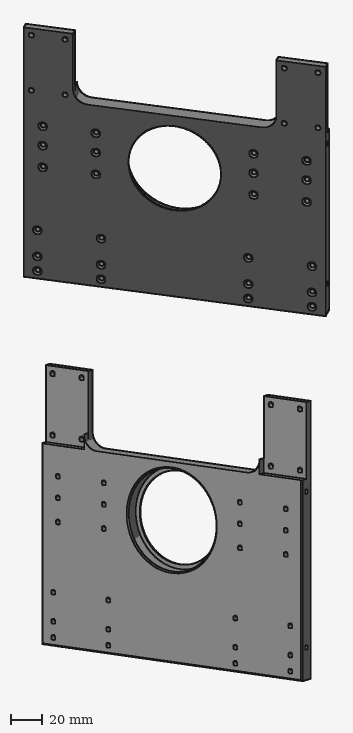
import cadquery as cq

width = 199.0
height = 181.0
thickness = 10.0

arm_width = 32.5
arm_length = 50.0
notch_corner_radius = 9.75
notch_floor_z = height - arm_length
notch_width = width - 2 * arm_width

arm_thickness = 5.0

back_bevel = 0.9

opening_diameter = 61.0
opening_z = 93.0
bore_diameter = 67.0
bore_bevel = 1.0
bevel_angle = 45.0
lip_thickness = 1.0

arm_hole_diameter = 3.4
arm_hole_offsets = (72.25, 94.5)
arm_hole_heights = (136.0, 176.0)

screw_hole_diameter = 3.2
countersink_diameter = 5.8
countersink_angle = 90.0
upper_screw_offsets = (52.0, 87.0)
upper_screw_heights = (81.2, 97.0, 111.0)
lower_screw_offsets = (48.5, 90.5)
lower_screw_heights = (5.6, 16.1, 35.1)

side_hole_diameter = 3.0
side_hole_depth = 10.0
side_hole_heights = (21.2, 122.7)


def mirrored_grid(offsets, heights):
    """Points at every offset left and right of the centre plane, at every height."""
    return [(side * x, z) for side in (-1, 1) for x in offsets for z in heights]


def through_bores(points, diameter):
    """Cylinders through the full thickness, from the front face toward +Y."""
    return cq.Workplane("XZ").pushPoints(points).circle(diameter / 2).extrude(-thickness)


def make_plate():
    """Rectangular plate with bevelled back side and bottom edges."""
    plate = cq.Workplane("XY").box(width, thickness, height, centered=(True, False, False))
    return plate.faces(">Y").edges("|Z or <Z").chamfer(back_bevel)


def make_notch():
    """Full-depth cut between the arms, with round lower corners."""
    notch = cq.Workplane("XY").box(notch_width, thickness, arm_length, centered=(True, False, False))
    notch = notch.edges("|Y and <Z").fillet(notch_corner_radius)
    return notch.translate((0, 0, notch_floor_z))


def make_arm_relief(side):
    """Cut that thins one arm from the back, leaving the notch corner full depth."""
    depth = thickness - arm_thickness
    relief = cq.Workplane("XY").box(arm_width, depth, arm_length, centered=(True, False, False))
    return relief.translate((side * (width - arm_width) / 2, arm_thickness, notch_floor_z))


def make_side_holes(side):
    """Blind holes at mid thickness in one side edge."""
    points = [(thickness / 2, z) for z in side_hole_heights]
    edge_plane = cq.Workplane("YZ", origin=(side * width / 2, 0, 0))
    return edge_plane.pushPoints(points).circle(side_hole_diameter / 2).extrude(-side * side_hole_depth)


def make_opening():
    """Round opening with a thin front lip and a wider, back-bevelled bore behind it."""
    opening = through_bores([(0, opening_z)], opening_diameter)
    bore_plane = cq.Workplane("XZ", origin=(0, lip_thickness, opening_z))
    bore = bore_plane.circle(bore_diameter / 2).extrude(lip_thickness - thickness)
    bevel_plane = cq.Workplane("XZ", origin=(0, thickness, opening_z))
    bevel = bevel_plane.circle(bore_diameter / 2 + bore_bevel).extrude(bore_bevel, taper=bevel_angle)
    return opening.union(bore).union(bevel)


def cut_screw_holes(plate):
    """Through holes countersunk from the front face."""
    front_plane = plate.copyWorkplane(cq.Workplane("XZ"))
    return front_plane.pushPoints(screw_holes).cskHole(
        screw_hole_diameter, countersink_diameter, countersink_angle
    )


arm_holes = mirrored_grid(arm_hole_offsets, arm_hole_heights)
upper_screws = mirrored_grid(upper_screw_offsets, upper_screw_heights)
lower_screws = mirrored_grid(lower_screw_offsets, lower_screw_heights)
screw_holes = upper_screws + lower_screws

result = make_plate().cut(make_notch())
for side in (-1, 1):
    result = result.cut(make_arm_relief(side))
    result = result.cut(make_side_holes(side))
result = result.cut(make_opening())
result = result.cut(through_bores(arm_holes, arm_hole_diameter))
result = cut_screw_holes(result)